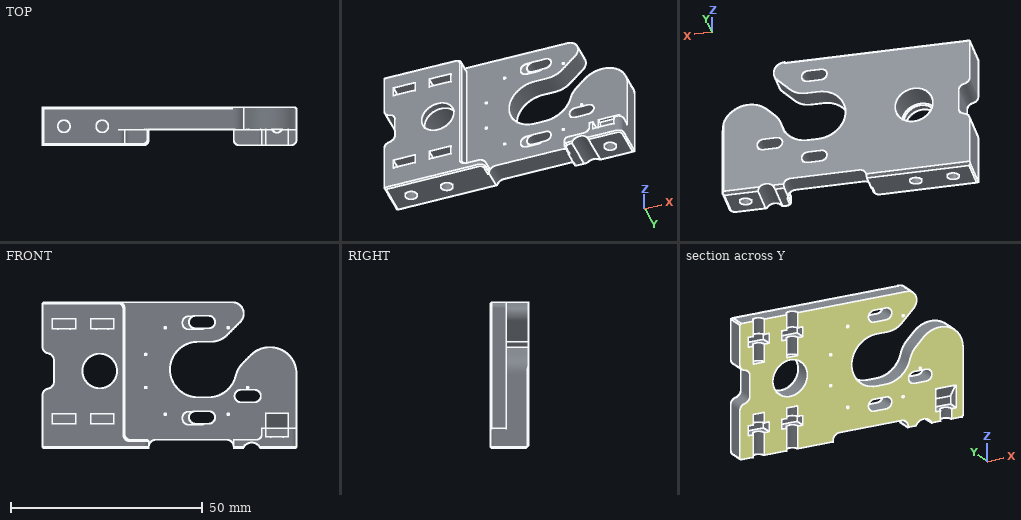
import cadquery as cq
import math

length = 66.5
depth = 10.0
height = 38.25
plate_front = 4.1
mid_z = 20.25
edge_chamfer = 0.4
bottom_back_chamfer = 0.8

block_right = 21.5
block_top_radius = 1.5
toe_right = 27.85
toe_top = 2.25
toe_radius = 1.5

notch_depth = 3.0
notch_half_flat = 2.8
notch_half_open = 6.4

arm_end_x = 49.7
arm_radius = 3.0
arm_blend_radius = 6.0

throat_z = 20.625
throat_radius = 7.225
throat_left_x = 40.625
throat_right_x = 43.5

hump_radius = 7.0
hump_z = 19.5
hump_blend_radius = 7.0

foot_left = 50.0
foot_top = 5.25
foot_step_x = 57.4
arch_radius = 1.8
groove_x = 54.75
groove_z = -1.0
groove_radius = 2.5

screw_diameter = 3.2
screw_y = depth / 2
nut_back = screw_y + 3.0
block_screw_x = (5.65, 15.65)
block_screw_depth = 12.0
nut_width = 6.1
nut_height = 2.6
nut_bottom_z = (6.45, 31.25)
foot_screw_x = 61.35
foot_nut_width = 5.9
foot_nut_floor = 3.0
foot_nut_top = foot_top + 4.0
foot_ceiling_back = 5.2

bore_x = 15.0
bore_diameter = 9.0
bore_wide_diameter = 10.1
bore_lip = 2.25

slot_width = 3.2
slot_span = 3.6
recessed_slots = ((41.75, 33.05), (41.75, 8.1))
plain_slots = ((53.7, 13.7),)
recess_width = 3.5
recess_span = 3.0
recess_shift_x = -1.9
recess_shift_z = -0.2
recess_depth = 0.1

pin_diameter = 0.5
pin_depth = 5.0
pin_ring_x = 40.35
pin_ring_radius = 14.0
pin_angles = (54, 126, 162, 198, 234, 306, 342)


def box(x0, x1, y0, y1, z0, z1):
    return cq.Workplane("XY").box(x1 - x0, y1 - y0, z1 - z0, centered=False).translate((x0, y0, z0))


def along_y(outline, y0, y1):
    """Extrude an X-Z outline from y0 to y1."""
    return outline.extrude(y0 - y1).translate((0, y0, 0))


def cylinder_y(x, z, diameter, y0, y1):
    return along_y(cq.Workplane("XZ").center(x, z).circle(diameter / 2), y0, y1)


def slot_y(x, z, span, width, y0, y1):
    return along_y(cq.Workplane("XZ").center(x, z).slot2D(span + width, width), y0, y1)


def screw_hole(x, z0, z1):
    hole = cq.Workplane("XY").center(x, screw_y).circle(screw_diameter / 2).extrude(z1 - z0)
    return hole.translate((0, 0, z0))


def edge_cutter(plane, size, corner):
    """Diamond bar normal to the plane, centred on a corner, that leaves a chamfer of the given size."""
    return cq.Workplane(plane).polygon(4, 2 * size).extrude(length, both=True).translate(corner)


def on_circle(center, radius, degrees):
    angle = math.radians(degrees)
    return (center[0] + radius * math.cos(angle), center[1] + radius * math.sin(angle))


def make_plate():
    """Thin plate with the hooked throat; both throat lips have a 45 degree edge."""
    throat_top = throat_z + throat_radius
    throat_bottom = throat_z - throat_radius
    arm_center = (arm_end_x, height - arm_radius)
    arm_tangent = on_circle(arm_center, arm_radius, -45)

    lip_corner_x = arm_tangent[0] - (arm_tangent[1] - throat_top)
    lip_setback = arm_blend_radius * math.tan(math.radians(22.5))
    lip_start = on_circle((lip_corner_x, throat_top), lip_setback, 45)
    lip_end = (lip_corner_x - lip_setback, throat_top)

    hump_center = (length - hump_radius, hump_z)
    hump_tangent = on_circle(hump_center, hump_radius, 135)
    throat_center = (throat_right_x, throat_z)
    center_distance = throat_radius + hump_blend_radius
    offset = hump_tangent[1] - hump_tangent[0] - hump_blend_radius * math.sqrt(2)
    lift = throat_center[1] - throat_center[0] - offset
    reach = (lift + math.sqrt(2 * center_distance ** 2 - lift ** 2)) / 2
    blend_angle = math.degrees(math.atan2(reach - lift, reach))
    blend_center = on_circle(throat_center, center_distance, blend_angle)
    blend_start = on_circle(throat_center, throat_radius, blend_angle)
    blend_end = on_circle(blend_center, hump_blend_radius, 135)

    outline = (
        cq.Workplane("XZ")
        .moveTo(0, height)
        .lineTo(arm_end_x, height)
        .threePointArc(on_circle(arm_center, arm_radius, 22.5), arm_tangent)
        .lineTo(*lip_start)
        .radiusArc(lip_end, arm_blend_radius)
        .lineTo(throat_left_x, throat_top)
        .threePointArc((throat_left_x - throat_radius, throat_z), (throat_left_x, throat_bottom))
        .lineTo(throat_right_x, throat_bottom)
        .radiusArc(blend_start, -throat_radius)
        .radiusArc(blend_end, hump_blend_radius)
        .lineTo(*hump_tangent)
        .threePointArc(on_circle(hump_center, hump_radius, 67.5), (length, hump_z))
        .lineTo(length, 0)
        .lineTo(foot_left, 0)
        .lineTo(foot_left, toe_top - arch_radius)
        .radiusArc((foot_left - arch_radius, toe_top), -arch_radius)
        .lineTo(toe_right + arch_radius, toe_top)
        .radiusArc((toe_right, toe_top - arch_radius), -arch_radius)
        .lineTo(toe_right, 0)
        .lineTo(0, 0)
        .close()
    )
    return along_y(outline, plate_front, depth)


def make_block():
    """Front part of the block and toe, chamfered around its front face except on the left."""
    outline = (
        cq.Workplane("XZ")
        .moveTo(0, 0)
        .lineTo(0, height)
        .lineTo(block_right - block_top_radius, height)
        .radiusArc((block_right, height - block_top_radius), block_top_radius)
        .lineTo(block_right, toe_top + toe_radius)
        .radiusArc((block_right + toe_radius, toe_top), -toe_radius)
        .lineTo(toe_right, toe_top)
        .lineTo(toe_right, 0)
        .close()
    )
    block = along_y(outline, 0, plate_front)
    block = block.faces(">X").edges("|Z and <Y").fillet(toe_radius)
    return block.faces("<Y").edges("not <X").chamfer(edge_chamfer)


def make_foot():
    """Stepped foot with rounded front corners and a chamfered bottom."""
    outline = (
        cq.Workplane("XZ")
        .moveTo(foot_left, 0)
        .lineTo(foot_left, toe_top)
        .lineTo(foot_step_x - toe_radius, toe_top)
        .radiusArc((foot_step_x, toe_top + toe_radius), -toe_radius)
        .lineTo(foot_step_x, foot_top)
        .lineTo(length, foot_top)
        .lineTo(length, 0)
        .close()
    )
    envelope = (
        box(foot_left, length, 0, depth, 0, foot_top)
        .edges("|Z and <Y")
        .fillet(toe_radius)
        .faces("<Z")
        .edges("not >Y")
        .chamfer(edge_chamfer)
    )
    return along_y(outline, 0, plate_front).intersect(envelope)


def cut_outer_chamfers(part):
    for corner in ((0, 0, height), (0, 0, 0), (length, 0, 0)):
        part = part.cut(edge_cutter("XZ", edge_chamfer, corner))
    part = part.cut(edge_cutter("XY", edge_chamfer, (length, depth, 0)))
    part = part.cut(edge_cutter("YZ", bottom_back_chamfer, (0, depth, 0)))
    top_back = edge_cutter("YZ", edge_chamfer, (0, depth, height))
    return part.cut(top_back.intersect(box(0, arm_end_x, 0, 2 * depth, 0, 2 * height)))


def cut_notch(part):
    """Cut the left notch; each flank is an S of two equal arcs."""
    half_depth = notch_depth / 2
    half_middle = (notch_half_flat + notch_half_open) / 2
    rise = half_middle - notch_half_flat
    radius = (half_depth ** 2 + rise ** 2) / (2 * half_depth)
    outline = (
        cq.Workplane("XZ")
        .moveTo(0, mid_z - notch_half_open)
        .radiusArc((half_depth, mid_z - half_middle), radius)
        .radiusArc((notch_depth, mid_z - notch_half_flat), -radius)
        .lineTo(notch_depth, mid_z + notch_half_flat)
        .radiusArc((half_depth, mid_z + half_middle), -radius)
        .radiusArc((0, mid_z + notch_half_open), radius)
        .close()
    )
    return part.cut(along_y(outline, 0, depth))


def cut_bore(part):
    part = part.cut(cylinder_y(bore_x, mid_z, bore_diameter, 0, depth))
    return part.cut(cylinder_y(bore_x, mid_z, bore_wide_diameter, bore_lip, depth))


def cut_block_screws(part):
    """Screw holes from top and bottom, each crossing a nut trap open to the front."""
    for x in block_screw_x:
        part = part.cut(screw_hole(x, height - block_screw_depth, height))
        part = part.cut(screw_hole(x, 0, block_screw_depth))
        for z in nut_bottom_z:
            part = part.cut(box(x - nut_width / 2, x + nut_width / 2, 0, nut_back, z, z + nut_height))
    return part


def cut_foot_screw(part):
    """Nut pocket in the foot, with a sloping ceiling, and the screw hole below it."""
    pocket = (
        cq.Workplane("YZ")
        .moveTo(0, foot_nut_floor)
        .lineTo(nut_back, foot_nut_floor)
        .lineTo(nut_back, foot_top)
        .lineTo(foot_ceiling_back, foot_nut_top)
        .lineTo(0, foot_nut_top)
        .close()
        .extrude(foot_nut_width)
        .translate((foot_screw_x - foot_nut_width / 2, 0, 0))
    )
    return part.cut(pocket).cut(screw_hole(foot_screw_x, 0, foot_nut_floor))


def cut_motor_slots(part):
    for x, z in recessed_slots + plain_slots:
        part = part.cut(slot_y(x, z, slot_span, slot_width, plate_front, depth))
    recess_back = plate_front + recess_depth
    for x, z in recessed_slots:
        recess_x = x + recess_shift_x
        recess_z = z + recess_shift_z
        part = part.cut(slot_y(recess_x, recess_z, recess_span, recess_width, plate_front, recess_back))
    return part


def cut_pin_holes(part):
    for angle in pin_angles:
        x, z = on_circle((pin_ring_x, mid_z), pin_ring_radius, angle)
        part = part.cut(cylinder_y(x, z, pin_diameter, plate_front, plate_front + pin_depth))
    return part


def cut_groove(part):
    return part.cut(cylinder_y(groove_x, groove_z, 2 * groove_radius, 0, depth))


body = make_plate().union(make_block()).union(make_foot())
body = cut_outer_chamfers(body)
body = cut_notch(body)
body = cut_bore(body)
body = cut_block_screws(body)
body = cut_foot_screw(body)
body = cut_motor_slots(body)
body = cut_pin_holes(body)
result = cut_groove(body)